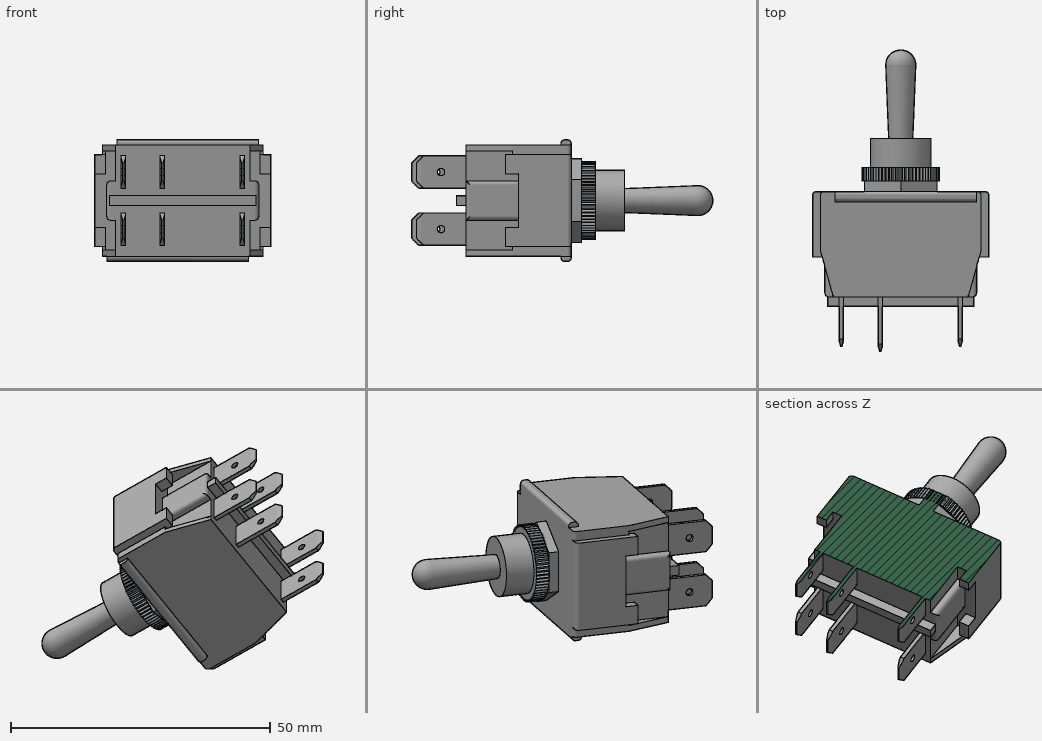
import cadquery as cq
import math


housing_width = 31.0
housing_height = 21.5
housing_depth = 20.3
core_width = 26.0
taper_start = 11.35
panel_corner_radius = 0.75
plate_thickness = 1.2

cap_width = 34.01
cap_height = 17.74
cap_depth = 10.15
leg_depth = 12.65
leg_gap = 10.3
leg_inner_width = 29.8

pad_span = 29.3
pad_height = 7.6
pad_radius = 0.8

rib_width = 28.2
rib_thickness = 1.95
rib_projection = 1.85

ridge_length = 27.35
ridge_width = 2.0
ridge_projection = 0.985
ridge_radius = 0.75
ridge_shift = 0.97

terminal_positions = (-11.46, -3.94, 11.46)
terminal_extra = (0.0, 0.95, 0.0)
terminal_row_offset = 5.5
terminal_thickness = 0.8
terminal_width = 6.3
terminal_length = 9.54
terminal_corner = 1.4
terminal_bevel_length = 0.95
terminal_bevel_depth = 0.25
terminal_hole_diameter = 1.4
terminal_hole_distance = 4.75

hex_across_flats = 14.0
hex_thickness = 2.0
knurl_diameter = 15.0
knurl_thickness = 2.65
knurl_teeth = 64
knurl_depth = 0.35
bushing_diameter = 11.73
bushing_end = 10.27
lever_base_diameter = 4.7
lever_top_diameter = 5.84
lever_end = 27.3


def block(x_range, y_range, z_range):
    """Box between the given limits on each axis."""
    lows, highs = zip(x_range, y_range, z_range)
    sizes = [high - low for low, high in zip(lows, highs)]
    return cq.Workplane("XY").box(*sizes, centered=False).translate(lows)


def centred_block(width, y_range, height):
    """Box centred on the Y axis."""
    return block((-width / 2, width / 2), y_range, (-height / 2, height / 2))


def end_plane(y):
    """Workplane at the given Y that faces +Y, with Z along its local X."""
    return cq.Workplane("ZX", origin=(0, y, 0))


def make_housing():
    side = housing_width / 2
    end = core_width / 2
    outline = [
        (-side, 0),
        (side, 0),
        (side, -taper_start),
        (end, -housing_depth),
        (-end, -housing_depth),
        (-side, -taper_start),
    ]
    body = cq.Workplane("XY").polyline(outline).close().extrude(housing_height / 2, both=True)
    body = body.edges("|Z and >Y").fillet(panel_corner_radius)
    recess_height = housing_height - 2 * plate_thickness
    recess = centred_block(housing_width, (-housing_depth, -taper_start), recess_height)
    recess = recess.union(centred_block(leg_inner_width, (-housing_depth, -cap_depth), recess_height))
    recess = recess.union(centred_block(housing_width, (-housing_depth, -cap_depth), leg_gap))
    core = centred_block(core_width, (-housing_depth, 0), housing_height)
    return body.cut(recess.cut(core))


def make_end_caps():
    caps = centred_block(cap_width, (-leg_depth, 0), cap_height)
    caps = caps.edges("|Z and >Y").fillet(panel_corner_radius)
    caps = caps.cut(centred_block(leg_inner_width, (-leg_depth, -cap_depth), cap_height))
    return caps.cut(centred_block(cap_width, (-leg_depth, -cap_depth), leg_gap))


def make_snap_pads():
    pads = centred_block(pad_span, (-housing_depth, -cap_depth), pad_height)
    return pads.faces("<X or >X").edges("|Y or <Y").fillet(pad_radius)


def make_ridge(face_direction):
    """Ridge on the top (+1) or bottom (-1) face, along the panel edge."""
    top = housing_height / 2 + ridge_projection
    ridge = block(
        (-ridge_length / 2, ridge_length / 2),
        (-ridge_width, 0),
        (housing_height / 2 - plate_thickness, top),
    )
    ridge = ridge.edges("|X and >Z").fillet(ridge_radius)
    if face_direction < 0:
        ridge = ridge.mirror("XY")
    return ridge.translate((face_direction * ridge_shift, 0, 0))


def make_terminal(length):
    """Blade centred on the Y axis, from Y = 0 to its bevelled tip at Y = -length."""
    half = terminal_thickness / 2
    tip = half - terminal_bevel_depth
    bevel_start = terminal_bevel_length - length
    side_outline = [
        (-half, 0),
        (half, 0),
        (half, bevel_start),
        (tip, -length),
        (-tip, -length),
        (-half, bevel_start),
    ]
    blade = cq.Workplane("XY").polyline(side_outline).close().extrude(terminal_width / 2, both=True)
    face = centred_block(terminal_thickness, (-length, 0), terminal_width)
    face = face.edges("|X and <Y").chamfer(terminal_corner)
    hole = (
        cq.Workplane("YZ")
        .center(terminal_hole_distance - length, 0)
        .circle(terminal_hole_diameter / 2)
        .extrude(terminal_thickness, both=True)
    )
    return blade.intersect(face).cut(hole)


def make_knurled_nut():
    outer = knurl_diameter / 2
    points = []
    for step in range(2 * knurl_teeth):
        radius = outer - knurl_depth * (step % 2)
        angle = math.pi * step / knurl_teeth
        points.append((radius * math.cos(angle), radius * math.sin(angle)))
    return end_plane(hex_thickness).polyline(points).close().extrude(knurl_thickness)


def make_lever():
    base = lever_base_diameter / 2
    top = lever_top_diameter / 2
    dome_start = lever_end - top
    dome_middle = (top * math.sin(math.pi / 4), dome_start + top * math.cos(math.pi / 4))
    return (
        cq.Workplane("XY")
        .moveTo(0, bushing_end)
        .lineTo(base, bushing_end)
        .lineTo(top, dome_start)
        .threePointArc(dome_middle, (0, lever_end))
        .close()
        .revolve(360, (0, 0, 0), (0, 1, 0))
    )


result = make_housing().union(make_end_caps()).union(make_snap_pads())
result = result.union(centred_block(rib_width, (-housing_depth - rib_projection, -cap_depth), rib_thickness))
for direction in (1, -1):
    result = result.union(make_ridge(direction))

for x, extra in zip(terminal_positions, terminal_extra):
    terminal = make_terminal(terminal_length + extra)
    for z in (-terminal_row_offset, terminal_row_offset):
        result = result.union(terminal.translate((x, -housing_depth, z)))

hex_corner_diameter = hex_across_flats / math.cos(math.pi / 6)
result = result.union(end_plane(0).polygon(6, hex_corner_diameter).extrude(hex_thickness))
result = result.union(make_knurled_nut())
result = result.union(end_plane(0).circle(bushing_diameter / 2).extrude(bushing_end))
result = result.union(make_lever())